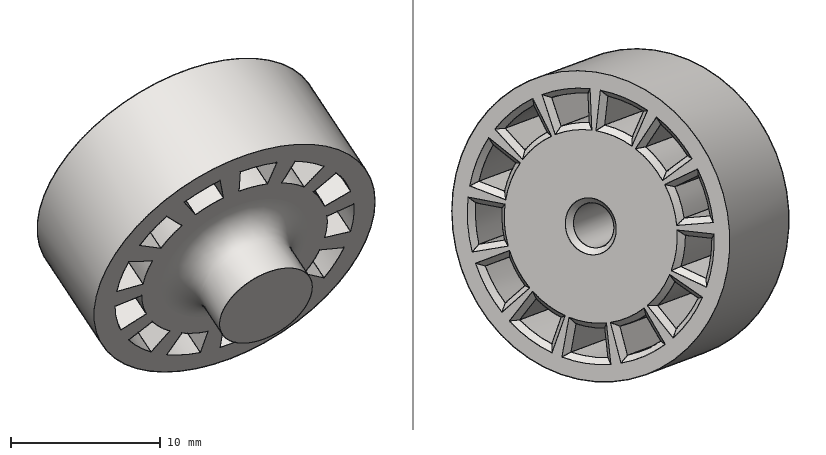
import cadquery as cq
import math

wheel_diameter = 21.2
wheel_width = 8.3
overall_length = 12.9
hub_diameter = 7.0
hub_fillet = 2.0

bore_diameter = 3.07
bore_depth = wheel_width

window_count = 13
window_inner_radius = 7.0
window_outer_radius = 9.0
window_half_angle = 9.0
first_window_angle = 161.3
window_pitch = 360 / window_count

edge_chamfer = 0.4


def disc(diameter, start, length):
    """Solid disc along X, beginning at x = start."""
    return cq.Workplane("YZ").workplane(offset=start).circle(diameter / 2).extrude(length)


def polar(radius, degrees):
    """Point in the YZ plane, with the angle measured from +Y toward +Z."""
    angle = math.radians(degrees)
    return radius * math.cos(angle), radius * math.sin(angle)


def window_cutter(centre_angle):
    """Annular sector through the wheel, with its middle at centre_angle."""
    start = centre_angle - window_half_angle
    end = centre_angle + window_half_angle
    return (
        cq.Workplane("YZ")
        .moveTo(*polar(window_inner_radius, start))
        .lineTo(*polar(window_outer_radius, start))
        .threePointArc(polar(window_outer_radius, centre_angle), polar(window_outer_radius, end))
        .lineTo(*polar(window_inner_radius, end))
        .threePointArc(polar(window_inner_radius, centre_angle), polar(window_inner_radius, start))
        .close()
        .extrude(wheel_width)
    )


wheel = disc(wheel_diameter, 0, wheel_width)
hub = disc(hub_diameter, wheel_width, overall_length - wheel_width)
body = wheel.union(hub)

hub_edges = body.edges("%CIRCLE").edges(cq.selectors.RadiusNthSelector(0))
body = hub_edges.edges("<X").fillet(hub_fillet)

body = body.cut(disc(bore_diameter, 0, bore_depth))
for index in range(window_count):
    body = body.cut(window_cutter(first_window_angle + index * window_pitch))

front_edges = body.faces("<X").edges()
opening_edges = front_edges.filter(lambda edge: edge.Length() < wheel_diameter)
result = opening_edges.chamfer(edge_chamfer)